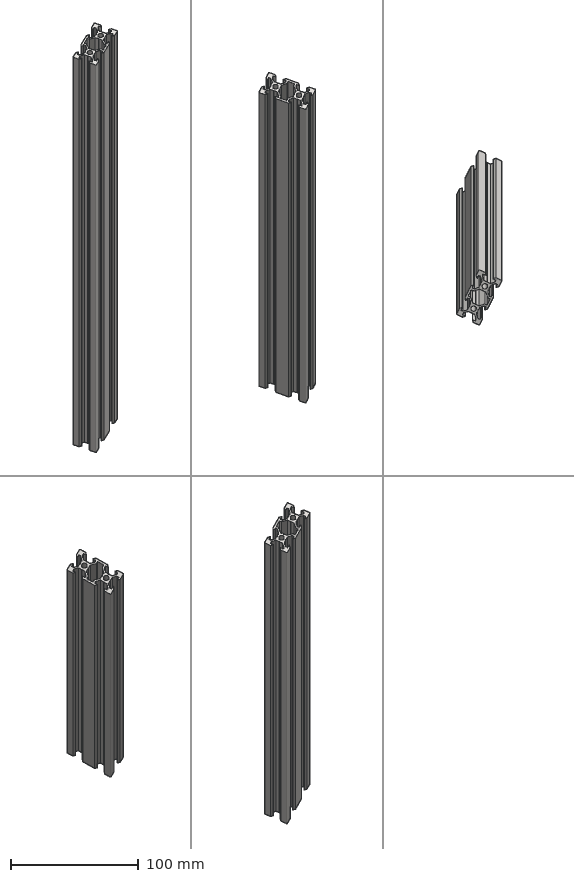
import cadquery as cq

module = 20.0
length = 453.0
half = module / 2
cell_offset = half
corner_radius = 0.5

mouth_width = 9.16
throat_width = 6.2
lip_thickness = 1.8
cavity_width = 11.0
slot_depth = 6.1
web_thickness = 1.5
groove_width = 0.4
groove_depth = 0.2

bore_diameter = 4.2

core_half = half - slot_depth
lip_inner = half - lip_thickness
web_offset = web_thickness / 2 ** 0.5
floor_half = core_half - web_offset
v_depth = (mouth_width - throat_width) / 2


def prism(points):
    return cq.Workplane("XY").polyline(points).close().extrude(length)


def slot(center_y, angle):
    """Cutter for one V-slot, opening towards +X before it is turned about its cell."""
    side = [
        (half, mouth_width / 2),
        (half - v_depth, throat_width / 2),
        (lip_inner, throat_width / 2),
        (lip_inner, cavity_width / 2),
        (cavity_width / 2 + web_offset, cavity_width / 2),
        (core_half, floor_half),
        (core_half, groove_width / 2),
    ]
    groove_bottom = [(core_half - groove_depth, 0)]
    mirrored = [(x, -y) for x, y in reversed(side)]
    cutter = prism(side + groove_bottom + mirrored)
    return cutter.rotate((0, 0, 0), (0, 0, 1), angle).translate((0, center_y, 0))


def central_cavity():
    """Hollow between the two cores, bounded by the webs and the side walls."""
    core_face = cell_offset - core_half
    wall_step = cell_offset - cavity_width / 2 - lip_thickness
    web_foot = floor_half + core_face - wall_step
    groove_bottom = core_face + groove_depth
    quarter = [
        (groove_width / 2, core_face),
        (floor_half, core_face),
        (web_foot, wall_step),
        (lip_inner, wall_step),
    ]
    right = quarter + [(x, -y) for x, y in reversed(quarter)]
    left = [(-x, -y) for x, y in right]
    return prism([(0, groove_bottom)] + right + [(0, -groove_bottom)] + left)


def extrusion():
    body = cq.Workplane("XY").rect(module, 2 * module).extrude(length)
    body = body.edges("|Z").fillet(corner_radius)
    for center_y, end_angle in ((cell_offset, 90), (-cell_offset, -90)):
        for angle in (0, 180, end_angle):
            body = body.cut(slot(center_y, angle))
        bore = cq.Workplane("XY").center(0, center_y).circle(bore_diameter / 2).extrude(length)
        body = body.cut(bore)
    return body.cut(central_cavity())


result = extrusion()